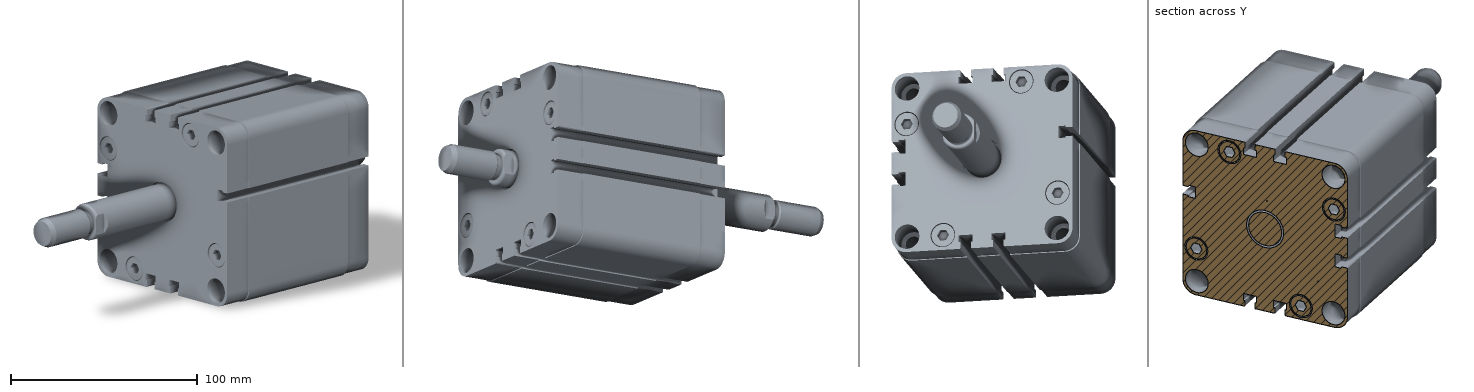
import cadquery as cq
import math


barrel_size = 100.0
cap_size = 99.1
corner_radius = 8.0
body_length = 106.0
cap_length = 16.0
body_shift = 25.0
body_front = body_shift - body_length / 2
body_back = body_shift + body_length / 2

slot_offset = 9.0
slot_opening = 5.7
slot_inner = 7.5
slot_lip = 4.2
slot_depth = 8.0
slot_shoulder = barrel_size / 2 - slot_lip
barrel_slot_step = 0.2
cap_slot_floor = barrel_size / 2 - slot_depth
barrel_slot_floor = cap_slot_floor - barrel_slot_step
cap_mouth_chamfer = 0.5
sensor_slot_offset = 12.0
sensor_slot_opening = 5.0
sensor_slot_inner = 6.5

mount_offset = 41.0
mount_hole_diameter = 8.5
mount_bore_diameter = 13.5
mount_bore_depth = cap_length

screw_edge_offset = 41.3
screw_side_offset = 21.5
screw_bore_diameter = 13.5
screw_head_diameter = 12.5
screw_head_recess = 0.5
screw_bore_depth = 8.3
socket_across_flats = 5.7
socket_depth = 3.5

rod_length = 236.0
rod_diameter = 20.0
rod_shoulder = 86.0
shoulder_radius = 1.5
neck_diameter = 13.5
neck_length = 3.5
thread_diameter = 16.0
thread_tip_chamfer = 2.8
thread_root_chamfer = 0.5
rod_bore_diameter = 22.0
rod_bore_depth = 2.4
flat_width = 16.8
flat_length = 6.0


def along_y(y):
    """Workplane at the given y facing +Y, with local x = X and local y = -Z."""
    return cq.Workplane("XZ", origin=(0, y, 0)).transformed(rotate=(180, 0, 0))


def rounded_block(size, y_start, y_end):
    block = along_y(y_start).rect(size, size).extrude(y_end - y_start)
    return block.edges("|Y").fillet(corner_radius)


def t_slot(size, offset, opening, inner, floor, chamfer, y_start, y_end):
    """Cutter for a T-slot at x = offset in the top of a square section.

    The chamfer breaks the mouth edge further from x = 0.
    """
    top = size / 2
    outward = math.copysign(1, offset)
    profile = [
        (-opening / 2, top),
        (-opening / 2, slot_shoulder),
        (-inner / 2, slot_shoulder),
        (-inner / 2, floor),
        (inner / 2, floor),
        (inner / 2, slot_shoulder),
        (opening / 2, slot_shoulder),
        (opening / 2, top - chamfer),
    ]
    if chamfer > 0:
        profile.append((opening / 2 + chamfer, top))
    points = [(offset + outward * x, z) for x, z in profile]
    return cq.Workplane("XZ", origin=(0, y_start, 0)).polyline(points).close().extrude(y_start - y_end)


def cylinder(x, z, diameter, y_start, y_end):
    return along_y(y_start).center(x, -z).circle(diameter / 2).extrude(y_end - y_start)


def mirrored_ends(cutter):
    """The cutter at the front end of the body plus its copy at the back end."""
    return [cutter, cutter.mirror("XZ", (0, body_shift, 0))]


def make_section(size, floor, chamfer, y_start, y_end):
    """Rounded block with paired T-slots in +Z, -Z and -X and a single sensor slot in +X."""
    section = rounded_block(size, y_start, y_end)
    for angle in (0, 180, 270):
        for offset in (-slot_offset, slot_offset):
            slot = t_slot(size, offset, slot_opening, slot_inner, floor, chamfer, y_start, y_end)
            section = section.cut(slot.rotate((0, 0, 0), (0, 1, 0), angle))
    sensor_slot = t_slot(
        size, -sensor_slot_offset, sensor_slot_opening, sensor_slot_inner, floor, 0, y_start, y_end
    )
    return section.cut(sensor_slot.rotate((0, 0, 0), (0, 1, 0), 90))


def make_body():
    barrel_front = body_front + cap_length
    barrel_back = body_back - cap_length
    barrel = make_section(barrel_size, barrel_slot_floor, 0, barrel_front, barrel_back)
    front_cap = make_section(cap_size, cap_slot_floor, cap_mouth_chamfer, body_front, barrel_front)
    back_cap = make_section(cap_size, cap_slot_floor, cap_mouth_chamfer, barrel_back, body_back)
    return barrel.union(front_cap).union(back_cap)


def cut_mounting_holes(body):
    for x in (-mount_offset, mount_offset):
        for z in (-mount_offset, mount_offset):
            body = body.cut(cylinder(x, z, mount_hole_diameter, body_front, body_back))
            bore = cylinder(x, z, mount_bore_diameter, body_front, body_front + mount_bore_depth)
            for end_bore in mirrored_ends(bore):
                body = body.cut(end_bore)
    return body


def cut_screws(body):
    """Ring gap round each sunk screw head, with a hexagon socket in the head."""
    x, z = -screw_edge_offset, screw_side_offset
    head_face = body_front + screw_head_recess
    gap = cylinder(x, z, screw_bore_diameter, body_front, body_front + screw_bore_depth)
    gap = gap.cut(cylinder(x, z, screw_head_diameter, head_face, body_front + screw_bore_depth))
    socket_diameter = socket_across_flats / math.cos(math.pi / 6)
    socket = along_y(head_face).center(x, -z).polygon(6, socket_diameter).extrude(socket_depth)
    for index in range(4):
        for cutter in (gap, socket):
            turn = math.radians(90 * index)
            new_x = x * math.cos(turn) + z * math.sin(turn)
            new_z = z * math.cos(turn) - x * math.sin(turn)
            moved = cutter.translate((new_x - x, 0, new_z - z))
            for end_cutter in mirrored_ends(moved):
                body = body.cut(end_cutter)
    return body


def cut_rod_bores(body):
    bore = cylinder(0, 0, rod_bore_diameter, body_front, body_front + rod_bore_depth)
    for end_bore in mirrored_ends(bore):
        body = body.cut(end_bore)
    return body


def make_rod():
    tip = rod_length / 2
    thread_start = rod_shoulder + neck_length
    rod_r, neck_r, thread_r = rod_diameter / 2, neck_diameter / 2, thread_diameter / 2
    arc_inset = shoulder_radius * (1 - math.sqrt(0.5))
    half = (
        cq.Workplane("XY")
        .lineTo(rod_r, 0)
        .lineTo(rod_r, rod_shoulder - shoulder_radius)
        .threePointArc(
            (rod_r - arc_inset, rod_shoulder - arc_inset),
            (rod_r - shoulder_radius, rod_shoulder),
        )
        .lineTo(neck_r, rod_shoulder)
        .lineTo(neck_r, thread_start)
        .lineTo(thread_r - thread_root_chamfer, thread_start)
        .lineTo(thread_r, thread_start + thread_root_chamfer)
        .lineTo(thread_r, tip - thread_tip_chamfer)
        .lineTo(neck_r, tip)
        .lineTo(0, tip)
        .close()
        .revolve(360, (0, 0), (0, 1))
    )
    flat_start = rod_shoulder - flat_length
    flat = (
        cq.Workplane("XY")
        .moveTo(flat_width / 2, flat_start)
        .lineTo(flat_width / 2, rod_shoulder)
        .lineTo(rod_r, rod_shoulder)
        .lineTo(rod_r, flat_start - (rod_r - flat_width / 2))
        .close()
        .extrude(rod_r, both=True)
    )
    half = half.cut(flat).cut(flat.mirror("YZ"))
    return half.union(half.mirror("XZ"))


body = cut_rod_bores(cut_screws(cut_mounting_holes(make_body())))
result = body.union(make_rod())